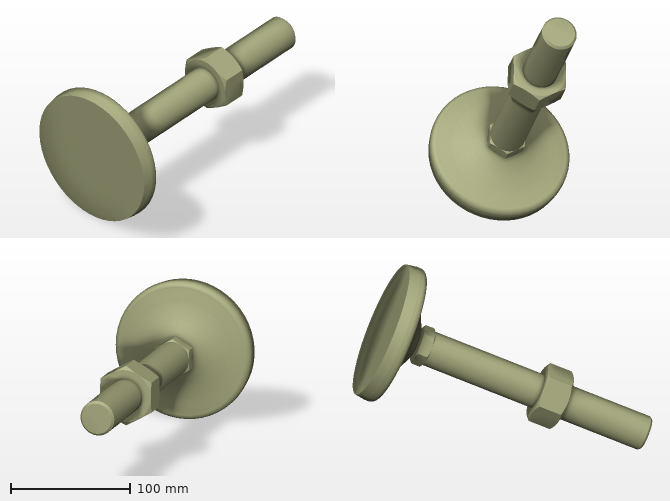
import cadquery as cq
import math

total_length = 243.5

rim_diameter = 120.0
sole_radius = 58.7
rim_band_start = 9.0
rim_band_end = 12.0
rim_fillet = 5.0
rim_top = rim_band_end + rim_fillet
flare_mid_radius = 28.2
flare_mid_height = 23.9
shoulder_radius = 16.3
shoulder_height = 29.7
crown_radius = 7.8
crown_height = 32.1

neck_diameter = 10.0
rod_diameter = 30.0
rod_end_chamfer = 2.0

spindle_hex_flats = rod_diameter
spindle_hex_start = 33.0
spindle_hex_height = 10.5
nut_flats = 45.0
nut_start = 143.7
nut_height = 23.5
hex_chamfer_angle = 30.0

sole_y = -total_length / 2


def plane_at(height):
    """Plane normal to the axis, at a height above the sole, facing +Y."""
    return cq.Plane(origin=(0, sole_y + height, 0), xDir=(1, 0, 0), normal=(0, 1, 0))


def cylinder(diameter, start, end):
    return cq.Workplane(plane_at(start)).circle(diameter / 2).extrude(end - start)


def foot():
    """Revolved foot: tapered sole, rounded rim and concave flare up to the crown."""
    rim_radius = rim_diameter / 2
    diagonal = rim_fillet * math.sqrt(0.5)
    fillet_middle = (rim_radius - rim_fillet + diagonal, rim_band_end + diagonal)
    profile = (
        cq.Workplane("XY", origin=(0, sole_y, 0))
        .lineTo(sole_radius, 0)
        .lineTo(rim_radius, rim_band_start)
        .lineTo(rim_radius, rim_band_end)
        .threePointArc(fillet_middle, (rim_radius - rim_fillet, rim_top))
        .threePointArc((flare_mid_radius, flare_mid_height), (shoulder_radius, shoulder_height))
        .tangentArcPoint((crown_radius, crown_height), relative=False)
        .lineTo(0, crown_height)
        .close()
    )
    return profile.revolve(360, (0, 0, 0), (0, 1, 0))


def chamfered_hexagon(flats, start, height):
    """Hexagon with flats facing X and corners along Z, its corners cut by cones at both ends."""
    corner_radius = flats / math.sqrt(3)
    face_radius = flats / 2
    chamfer = (corner_radius - face_radius) * math.tan(math.radians(hex_chamfer_angle))
    prism = (
        cq.Workplane(plane_at(start))
        .transformed(rotate=(0, 0, 90))
        .polygon(6, 2 * corner_radius)
        .extrude(height)
    )
    envelope = (
        cq.Workplane("XY", origin=(0, sole_y + start, 0))
        .lineTo(face_radius, 0)
        .lineTo(corner_radius, chamfer)
        .lineTo(corner_radius, height - chamfer)
        .lineTo(face_radius, height)
        .lineTo(0, height)
        .close()
        .revolve(360, (0, 0, 0), (0, 1, 0))
    )
    return prism.intersect(envelope)


neck = cylinder(neck_diameter, rim_top, spindle_hex_start + spindle_hex_height)
rod = cylinder(rod_diameter, spindle_hex_start + spindle_hex_height, total_length)
rod = rod.faces(">Y").chamfer(rod_end_chamfer)
spindle_hex = chamfered_hexagon(spindle_hex_flats, spindle_hex_start, spindle_hex_height)
lock_nut = chamfered_hexagon(nut_flats, nut_start, nut_height)

result = foot().union(neck).union(spindle_hex).union(rod).union(lock_nut)